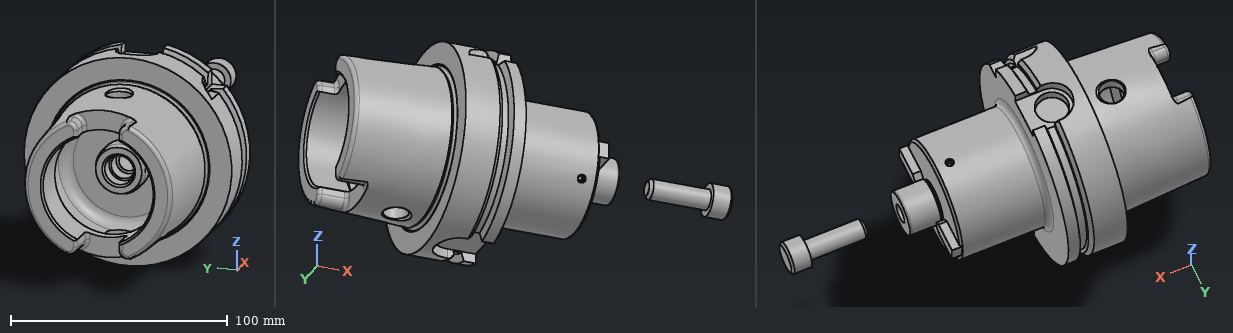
import cadquery as cq
import math


shank_end_radius = 35.5
taper_length = 47.2
taper_slope = 1 / 20
taper_radius = shank_end_radius + taper_slope * taper_length
shank_end_fillet = 1.8
relief_radius = 37.0
relief_step = 1.0

flange_start = 49.2
flange_radius = 50
flange_end = 79.2
face_recess_radius = 39.5
face_recess_depth = 0.5
face_recess_flare = 0.5
face_recess_round = 1.2
groove_radius = 46
groove_start = 68.2
groove_end = 72
groove_front_chamfer = 2
groove_back_flare = 1.2

neck_radius = 30
neck_fillet = 3.0
neck_end = 124.8
neck_chamfer = 1.2
spigot_radius = 22.2 / 2
spigot_end = 141.8
spigot_tip_radius = 21.8 / 2
spigot_tip_length = 0.8
spigot_relief_radius = 10.5
spigot_relief_length = 0.8
spigot_relief_chamfer = 0.5

bore_radius = 53.0 / 2
bore_chamfer = 1.0
bore_straight_length = 20
clamp_shoulder_length = 3.2
undercut_radius = 30.5
bore_floor = 44.8
bore_floor_fillet = 5.5
boss_start = 34.5
boss_radius = 12
boss_tip_radius = 22.2 / 2
boss_tip_length = 3.0

passage_mouth_radius = 8
passage_radius = 7.0
passage_depth = 8
step_radius = 6
step_depth = 16
through_radius = 4.5

slot_half_width = 10
slot_corner_radius = 4
slot_shoulder_height = 32
slot_fillet = 1.8
upper_slot_depth = 9.8
lower_slot_depth = 14.8

access_hole_radius = 6
access_hole_x = 34.8
access_cone_height = 36.2

keyway_center_x = 65.0
keyway_floor = 44
upper_keyway_width = 20
lower_keyway_width = 22
chip_hole_radius = 8
chip_hole_depth = 5.0
notch_floor = 31.5
notch_corner_radius = 10

tab_width = 8
tab_length = 4.2
tab_inner_end = 11.8
tab_chamfer = 2.8
tab_outer_end = 29.5

screw_hole_x = 116.8
screw_hole_count = 3
screw_hole_radius = 1.7
screw_hole_mouth_radius = 2
screw_hole_depth = 1.2
socket_radius = 1.2
socket_mouth_radius = 1.5
socket_depth = 2

screw_start = 159.8
screw_shank_radius = 5.0
screw_tip_chamfer = 1.5
screw_head_start = 190
screw_head_radius = 8
screw_head_chamfer = 1.2
screw_end = 200


def turned(profile):
    """Revolve a closed (x, radius) profile about the X axis."""
    return profile.close().revolve(360, (0, 0, 0), (1, 0, 0))


def holder_blank():
    groove_front_radius = flange_radius - groove_front_chamfer
    neck_start = flange_end + neck_fillet
    rim_middle = shank_end_fillet * (1 - math.sqrt(0.5))
    recess_floor = flange_start + face_recess_depth
    recess_middle = face_recess_round * (1 - math.sqrt(0.5))
    fillet_middle = neck_fillet * (1 - math.sqrt(0.5))
    spigot_start = neck_end + spigot_relief_length
    return turned(
        cq.Workplane("XY")
        .moveTo(0, 0)
        .lineTo(0, shank_end_radius - shank_end_fillet)
        .threePointArc(
            (rim_middle, shank_end_radius - rim_middle),
            (shank_end_fillet, shank_end_radius + taper_slope * shank_end_fillet),
        )
        .lineTo(taper_length, taper_radius)
        .lineTo(taper_length + relief_step, relief_radius)
        .lineTo(recess_floor - face_recess_round, relief_radius)
        .threePointArc(
            (recess_floor - recess_middle, relief_radius + recess_middle),
            (recess_floor, relief_radius + face_recess_round),
        )
        .lineTo(recess_floor, face_recess_radius - face_recess_flare)
        .lineTo(flange_start, face_recess_radius)
        .lineTo(flange_start, flange_radius)
        .lineTo(groove_start - groove_front_chamfer, flange_radius)
        .lineTo(groove_start, groove_front_radius)
        .lineTo(groove_start, groove_radius)
        .lineTo(groove_end, groove_radius)
        .lineTo(groove_end + groove_back_flare, flange_radius)
        .lineTo(flange_end, flange_radius)
        .lineTo(flange_end, neck_radius + neck_fillet)
        .threePointArc((flange_end + fillet_middle, neck_radius + fillet_middle), (neck_start, neck_radius))
        .lineTo(neck_end - neck_chamfer, neck_radius)
        .lineTo(neck_end, neck_radius - neck_chamfer)
        .lineTo(neck_end, spigot_relief_radius)
        .lineTo(spigot_start, spigot_relief_radius)
        .lineTo(spigot_start + spigot_relief_chamfer, spigot_radius)
        .lineTo(spigot_end - spigot_tip_length, spigot_radius)
        .lineTo(spigot_end, spigot_tip_radius)
        .lineTo(spigot_end, 0)
    )


def bore_space():
    """The shank bore, widened behind a clamping shoulder, with the coolant boss left on its floor."""
    fillet_middle = bore_floor_fillet * (1 - math.sqrt(0.5))
    return turned(
        cq.Workplane("XY")
        .moveTo(0, 0)
        .lineTo(0, bore_radius + bore_chamfer)
        .lineTo(bore_chamfer, bore_radius)
        .lineTo(bore_straight_length, bore_radius)
        .lineTo(bore_straight_length + clamp_shoulder_length, undercut_radius)
        .lineTo(bore_floor - bore_floor_fillet, undercut_radius)
        .threePointArc(
            (bore_floor - fillet_middle, undercut_radius - fillet_middle),
            (bore_floor, undercut_radius - bore_floor_fillet),
        )
        .lineTo(bore_floor, boss_radius)
        .lineTo(boss_start + boss_tip_length, boss_radius)
        .lineTo(boss_start, boss_tip_radius)
        .lineTo(boss_start, 0)
    )


def coolant_passage():
    mouth_chamfer = passage_mouth_radius - passage_radius
    return turned(
        cq.Workplane("XY")
        .moveTo(boss_start, 0)
        .lineTo(boss_start, passage_mouth_radius)
        .lineTo(boss_start + mouth_chamfer, passage_radius)
        .lineTo(boss_start + passage_depth, passage_radius)
        .lineTo(boss_start + passage_depth, step_radius)
        .lineTo(boss_start + step_depth, step_radius)
        .lineTo(boss_start + step_depth, through_radius)
        .lineTo(spigot_end, through_radius)
        .lineTo(spigot_end, 0)
    )


def slot_wall(length):
    """Land beside a drive slot: its wall rounds outward into a flat shoulder, and its mouth is rounded."""
    arc_start = slot_shoulder_height - slot_corner_radius
    arc_center_y = slot_half_width + slot_corner_radius
    arc_offset = slot_corner_radius * math.sqrt(0.5)
    return (
        cq.Workplane("YZ")
        .moveTo(flange_radius, 0)
        .lineTo(slot_half_width, 0)
        .lineTo(slot_half_width, arc_start)
        .threePointArc(
            (arc_center_y - arc_offset, arc_start + arc_offset),
            (arc_center_y, slot_shoulder_height),
        )
        .lineTo(flange_radius, slot_shoulder_height)
        .close()
        .extrude(length)
        .faces("<X")
        .edges("(not <Z) and (not >Y)")
        .fillet(slot_fillet)
    )


def drive_slot(depth):
    """Slot cutter on the +Z side, with a fillet where its walls meet its floor."""
    wall = slot_wall(depth)
    return (
        cq.Workplane("XY")
        .box(depth, 2 * flange_radius, flange_radius, centered=(False, True, False))
        .cut(wall)
        .cut(wall.mirror("XZ"))
        .faces(">X")
        .edges("(not >Z) and (not <Z) and (not >Y) and (not <Y)")
        .fillet(slot_fillet)
    )


def access_holes():
    """A hole across both shank walls, with a conical mouth on each side."""
    cone_height = taper_radius - access_cone_height
    across = (
        cq.Workplane("XY", origin=(access_hole_x, 0, -flange_radius))
        .circle(access_hole_radius)
        .extrude(2 * flange_radius)
    )
    cone = cq.Workplane("XY").add(
        cq.Solid.makeCone(
            access_hole_radius,
            access_hole_radius + cone_height,
            cone_height,
            pnt=cq.Vector(access_hole_x, 0, access_cone_height),
        )
    )
    boss_room = (
        cq.Workplane("YZ", origin=(boss_start, 0, 0)).circle(boss_radius).extrude(bore_floor - boss_start)
    )
    return across.union(cone).union(cone.mirror("XY")).cut(boss_room)


def keyway(width):
    """Round-ended keyway cutter on the +Z side, open toward the neck."""
    length = flange_end - keyway_center_x
    depth = flange_radius - keyway_floor
    base = cq.Workplane("XY", origin=(keyway_center_x, 0, keyway_floor))
    run = base.rect(2 * length, width).extrude(depth)
    run = run.intersect(base.box(length, width, depth, centered=(False, True, False)))
    return base.circle(width / 2).extrude(depth).union(run)


def chip_hole():
    return (
        cq.Workplane("XY", origin=(keyway_center_x, 0, keyway_floor - chip_hole_depth))
        .circle(chip_hole_radius)
        .extrude(chip_hole_depth)
    )


def corner_notch():
    """Square corner cut from the flange at -Y +Z, with one rounded inside corner."""
    length = flange_end - keyway_center_x + notch_corner_radius
    corner = (keyway_center_x - notch_corner_radius, -flange_radius, notch_floor)
    return (
        cq.Workplane("XY", origin=corner)
        .box(length, flange_radius - notch_floor, flange_radius, centered=False)
        .edges("|Z and <X and >Y")
        .fillet(notch_corner_radius)
    )


def drive_tabs():
    """Two tabs that stand on the neck face, chamfered toward the spigot and ending in flats near the rim."""
    start = neck_end - neck_chamfer
    length = tab_length + neck_chamfer
    tab = (
        cq.Workplane("XY", origin=(start, tab_inner_end, 0))
        .box(length, tab_outer_end - tab_inner_end, tab_width, centered=(False, False, True))
        .edges("|X and <Y")
        .chamfer(tab_chamfer)
    )
    return tab, tab.mirror("XZ")


def screw_hole(angle):
    """Radial hole in the neck with a chamfered mouth and a smaller socket in its floor."""
    mouth_chamfer = screw_hole_mouth_radius - screw_hole_radius
    socket_chamfer = socket_mouth_radius - socket_radius
    floor = neck_radius - screw_hole_depth
    return (
        cq.Workplane("XZ")
        .moveTo(0, floor - socket_depth)
        .lineTo(socket_radius, floor - socket_depth)
        .lineTo(socket_radius, floor - socket_chamfer)
        .lineTo(socket_mouth_radius, floor)
        .lineTo(screw_hole_radius, floor)
        .lineTo(screw_hole_radius, neck_radius - mouth_chamfer)
        .lineTo(screw_hole_mouth_radius, neck_radius)
        .lineTo(0, neck_radius)
        .close()
        .revolve(360, (0, 0, 0), (0, 1, 0))
        .translate((screw_hole_x, 0, 0))
        .rotate((0, 0, 0), (1, 0, 0), angle)
    )


def make_holder():
    holder = holder_blank().cut(bore_space()).cut(coolant_passage())
    holder = holder.cut(drive_slot(upper_slot_depth))
    holder = holder.cut(drive_slot(lower_slot_depth).mirror("XY"))
    holder = holder.cut(access_holes())
    holder = holder.cut(keyway(upper_keyway_width)).cut(chip_hole())
    holder = holder.cut(keyway(lower_keyway_width).mirror("XY"))
    holder = holder.cut(corner_notch())
    for tab in drive_tabs():
        holder = holder.union(tab)
    for index in range(screw_hole_count):
        holder = holder.cut(screw_hole(index * 360 / screw_hole_count))
    return holder


def make_screw():
    return turned(
        cq.Workplane("XY")
        .moveTo(screw_start, 0)
        .lineTo(screw_start, screw_shank_radius - screw_tip_chamfer)
        .lineTo(screw_start + screw_tip_chamfer, screw_shank_radius)
        .lineTo(screw_head_start, screw_shank_radius)
        .lineTo(screw_head_start, screw_head_radius)
        .lineTo(screw_end - screw_head_chamfer, screw_head_radius)
        .lineTo(screw_end, screw_head_radius - screw_head_chamfer)
        .lineTo(screw_end, 0)
    )


holder = make_holder()
screw = make_screw()
result = cq.Compound.makeCompound([holder.val(), screw.val()])